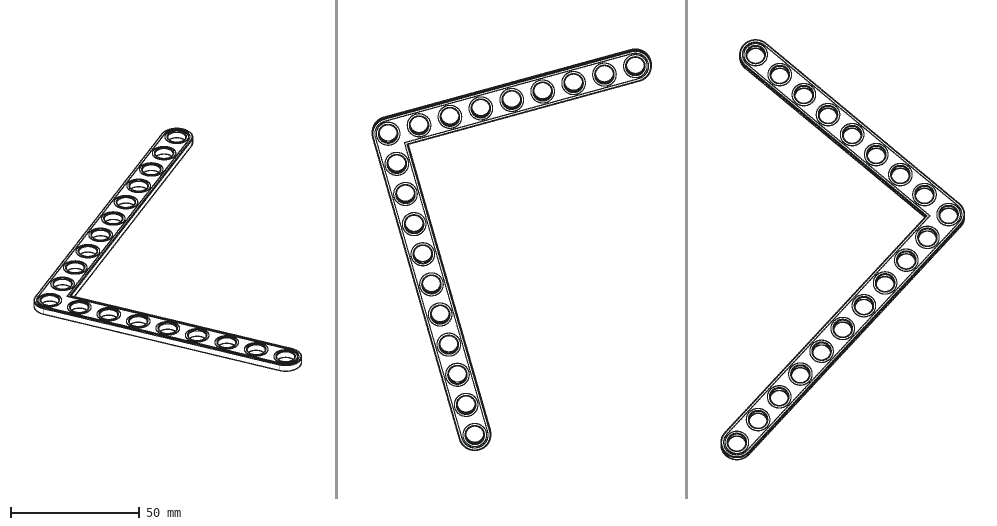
import cadquery as cq

pitch = 12.5
holes_along_x = 9
holes_along_y = 11
thickness = pitch / 4
hole_diameter = 7.0
rim_width = 1.1
recess_depth = 0.2
chamfer = 0.3

half_width = pitch / 2
half_thickness = thickness / 2
last_hole_x = (holes_along_x - 1) * pitch
last_hole_y = (holes_along_y - 1) * pitch
hole_radius = hole_diameter / 2
ring_radius = hole_radius + rim_width

hole_centres = [(i * pitch, 0) for i in range(holes_along_x)]
hole_centres += [(0, i * pitch) for i in range(1, holes_along_y)]


def angle_prism(inset, base_z, height):
    """L-shaped prism with rounded ends and outer corner; its sides are moved inward by inset."""
    r = half_width - inset
    diagonal = r / 2**0.5
    return (
        cq.Workplane("XY", origin=(0, 0, base_z))
        .moveTo(0, -r)
        .lineTo(last_hole_x, -r)
        .threePointArc((last_hole_x + r, 0), (last_hole_x, r))
        .lineTo(r, r)
        .lineTo(r, last_hole_y)
        .threePointArc((0, last_hole_y + r), (-r, last_hole_y))
        .lineTo(-r, 0)
        .threePointArc((-diagonal, -diagonal), (0, -r))
        .close()
        .extrude(height)
    )


def chamfered_plate():
    """Solid plate with its outer edges chamfered on both faces."""
    plate = angle_prism(0, -half_thickness, thickness)
    return plate.faces("<Z or >Z").edges().chamfer(chamfer)


def face_recess(base_z):
    """Shallow recess that leaves a rim along the outline and a ring around every hole."""
    rings = (
        cq.Workplane("XY", origin=(0, 0, base_z))
        .pushPoints(hole_centres)
        .circle(ring_radius)
        .extrude(recess_depth)
    )
    return angle_prism(rim_width, base_z, recess_depth).cut(rings)


def hole_cutters():
    """Through holes with chamfered edges on both faces, each a body turned about its axis."""
    mouth_radius = hole_radius + chamfer
    bore_end = half_thickness - chamfer
    profile = [
        (0, -half_thickness),
        (mouth_radius, -half_thickness),
        (hole_radius, -bore_end),
        (hole_radius, bore_end),
        (mouth_radius, half_thickness),
        (0, half_thickness),
    ]
    cutter = cq.Workplane("XZ").polyline(profile).close().revolve(360, (0, 0), (0, 1)).val()
    centres = cq.Workplane("XY").pushPoints(hole_centres)
    return centres.eachpoint(lambda place: cutter.moved(place))


result = chamfered_plate()
for recess_base in (-half_thickness, half_thickness - recess_depth):
    result = result.cut(face_recess(recess_base))
result = result.cut(hole_cutters())